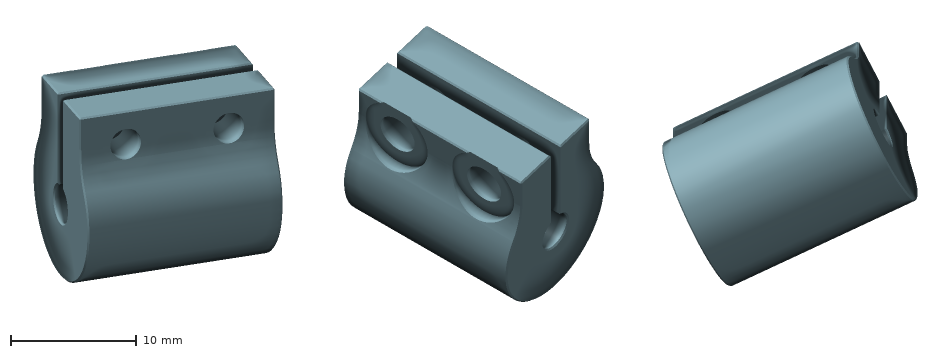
import cadquery as cq
import math


length = 16.57
barrel_radius = 6.35
bore_diameter = 3.175
lug_half_width = 4.445
lug_top = 9.48
neck_radius = barrel_radius
slot_width = 1.27
edge_chamfer = 0.127

screw_height = 6.63
screw_offset = 4.38
head_diameter = 6.35
head_seat_depth = 0.165
clearance_diameter = 3.45
tapped_diameter = 2.6

neck_center_x = lug_half_width + neck_radius
neck_center_distance = barrel_radius + neck_radius
neck_center_z = math.sqrt(neck_center_distance**2 - neck_center_x**2)
tangent_fraction = barrel_radius / neck_center_distance
tangent_x = neck_center_x * tangent_fraction
tangent_z = neck_center_z * tangent_fraction

neck_half_sweep = math.atan2(neck_center_z, neck_center_x) / 2
neck_mid_x = neck_center_x - neck_radius * math.cos(neck_half_sweep)
neck_mid_z = neck_center_z - neck_radius * math.sin(neck_half_sweep)


def make_body():
    """Barrel with lugs, chamfered around both ends and along the lug top."""
    body = (
        cq.Workplane("XZ")
        .moveTo(-lug_half_width, lug_top)
        .lineTo(-lug_half_width, neck_center_z)
        .threePointArc((-neck_mid_x, neck_mid_z), (-tangent_x, tangent_z))
        .threePointArc((0, -barrel_radius), (tangent_x, tangent_z))
        .threePointArc((neck_mid_x, neck_mid_z), (lug_half_width, neck_center_z))
        .lineTo(lug_half_width, lug_top)
        .close()
        .extrude(length / 2, both=True)
    )
    return body.faces("<Y or >Y or >Z").edges().chamfer(edge_chamfer)


def cut_bore(body):
    """Through bore along Y, chamfered at both ends."""
    bore = cq.Workplane("XZ").circle(bore_diameter / 2).extrude(length / 2, both=True)
    bored = body.cut(bore)
    return bored.faces("<Y or >Y").edges(cq.selectors.RadiusNthSelector(0)).chamfer(edge_chamfer)


def cut_slot(body):
    """Slot from the bore up through the lug top, with its top edges chamfered."""
    half_width = slot_width / 2
    slot = (
        cq.Workplane("XZ")
        .moveTo(-half_width, 0)
        .lineTo(-half_width, lug_top - edge_chamfer)
        .lineTo(-half_width - edge_chamfer, lug_top)
        .lineTo(half_width + edge_chamfer, lug_top)
        .lineTo(half_width, lug_top - edge_chamfer)
        .lineTo(half_width, 0)
        .close()
        .extrude(length / 2, both=True)
    )
    return body.cut(slot)


def x_cylinder(diameter, start_x, end_x, y):
    """Cylinder along X at screw height."""
    return (
        cq.Workplane("YZ", origin=(start_x, y, screw_height))
        .circle(diameter / 2)
        .extrude(end_x - start_x)
    )


def cut_screw_hole(body, y):
    """Head seat and clearance hole in the -X lug, tapped hole through the +X lug."""
    seat_x = head_seat_depth - lug_half_width
    head_seat = x_cylinder(head_diameter, -barrel_radius, seat_x, y)
    clearance_hole = x_cylinder(clearance_diameter, seat_x, 0, y)
    tapped_hole = x_cylinder(tapped_diameter, 0, barrel_radius, y)
    return body.cut(head_seat).cut(clearance_hole).cut(tapped_hole)


result = cut_slot(cut_bore(make_body()))
for screw_y in (-screw_offset, screw_offset):
    result = cut_screw_hole(result, screw_y)